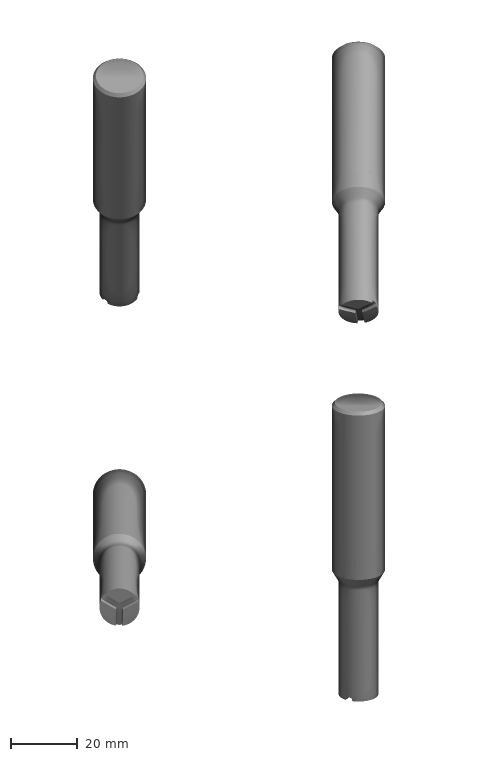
import cadquery as cq
import math

shank_diameter = 15.88
neck_diameter = 12.0
overall_length = 94.3
shank_length = 48.0
collar_length = 6.1
shoulder_angle = 30.0
shoulder_fillet = 2.5
shank_chamfer = 0.9
slot_count = 3
slot_mouth_width = 2.2
slot_floor_width = 1.7
slot_depth = 1.0
first_slot_angle = -90.0

shank_radius = shank_diameter / 2
neck_radius = neck_diameter / 2
shank_bottom = overall_length - shank_length
shoulder_top = shank_bottom - collar_length
shoulder_height = (shank_radius - neck_radius) / math.tan(math.radians(shoulder_angle))
shoulder_bottom = shoulder_top - shoulder_height


def make_shank():
    """Plain clamping cylinder with a chamfered back end."""
    shank = cq.Workplane("XY").workplane(offset=shank_bottom).circle(shank_radius).extrude(shank_length)
    return shank.faces(">Z").chamfer(shank_chamfer)


def make_head_blank():
    """Turned body: neck, blended conical shoulder and a collar of shank diameter."""
    slope = math.radians(shoulder_angle)
    tangent_length = shoulder_fillet * math.tan(slope / 2)
    blend_bottom = shoulder_bottom - tangent_length
    blend_start = (neck_radius, blend_bottom)
    blend_middle = (
        neck_radius + shoulder_fillet * (1 - math.cos(slope / 2)),
        blend_bottom + shoulder_fillet * math.sin(slope / 2),
    )
    blend_end = (
        neck_radius + shoulder_fillet * (1 - math.cos(slope)),
        blend_bottom + shoulder_fillet * math.sin(slope),
    )
    return (
        cq.Workplane("XZ")
        .lineTo(neck_radius, 0)
        .lineTo(*blend_start)
        .threePointArc(blend_middle, blend_end)
        .lineTo(shank_radius, shoulder_top)
        .lineTo(shank_radius, shank_bottom)
        .lineTo(0, shank_bottom)
        .close()
        .revolve()
    )


def make_tip_slot(angle):
    """Radial slot with leaning side walls, running from the axis out through the neck wall at `angle`."""
    slot = (
        cq.Workplane("YZ")
        .moveTo(-slot_mouth_width / 2, 0)
        .lineTo(slot_mouth_width / 2, 0)
        .lineTo(slot_floor_width / 2, slot_depth)
        .lineTo(-slot_floor_width / 2, slot_depth)
        .close()
        .extrude(shank_radius)
    )
    return slot.rotate((0, 0, 0), (0, 0, 1), angle)


def make_head():
    """Head with evenly spaced radial slots across its tip face."""
    head = make_head_blank()
    for index in range(slot_count):
        head = head.cut(make_tip_slot(first_slot_angle + index * 360 / slot_count))
    return head


shank = make_shank()
head = make_head()
result = cq.Compound.makeCompound([shank.val(), head.val()])